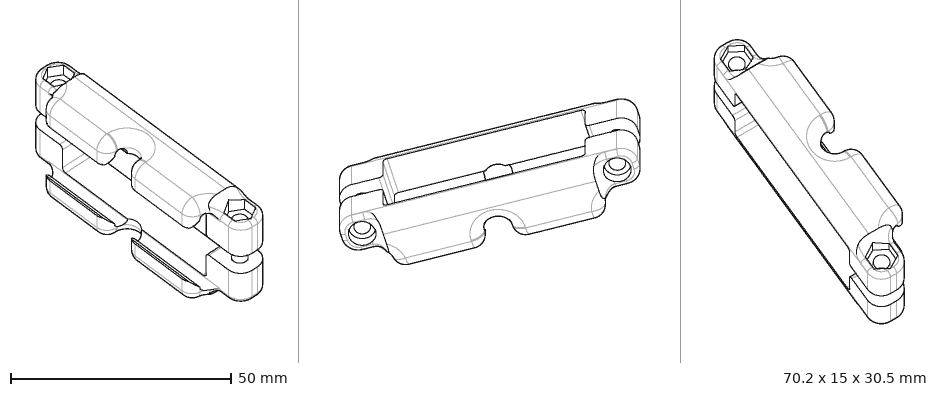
import cadquery as cq
import math

length = 70.2
depth = 14.95
height = 30.5
split_gap = 5.35
top = height / 2
ear_bottom = split_gap / 2

ear_depth = 9.3
ear_top = 12.15
ear_corner_radius = 3.8
ear_edge_radius = 1.25
ear_inner_x = 23.9
ear_front = depth - ear_depth
ear_center_y = depth - ear_depth / 2
hole_x = 30.1
hole_diameter = 3.8
nut_across_flats = 6.4
screw_head_diameter = 6.25
recess_depth = 3.0
blend_radius = 3.5

back_round_radius = 4.4
front_round_radius = 3.15
hook_corner_radius = 3.15
hook_side_x = 25.15
notch_radius = 3.2
notch_straight = 0.3

plate_thickness = 5.0
plate_bottom = top - plate_thickness
tunnel_edge_radius = 1.0
groove_width = 3.0
groove_cover = 3.15
groove_roof = top - groove_cover
hook_bottom = 8.35
hook_tip_width = 0.5

corner_x = hook_side_x - hook_corner_radius
blend_y = ear_front - blend_radius
blend_x = corner_x + math.sqrt(
    (blend_radius + hook_corner_radius) ** 2 - (hook_corner_radius - blend_y) ** 2
)
notch_y = hook_corner_radius + notch_straight

margin = 7.0
pick = 0.7


def point_on_circle(center_x, center_y, radius, angle):
    """Point at an angle in radians, measured from +X."""
    return center_x + radius * math.cos(angle), center_y + radius * math.sin(angle)


def box_around(x, y, z, size_x, size_y, size_z):
    """Selector for edges whose centre lies in a box of the given centre and size."""
    return cq.selectors.BoxSelector(
        (x - size_x / 2, y - size_y / 2, z - size_z / 2),
        (x + size_x / 2, y + size_y / 2, z + size_z / 2),
    )


def plan_outline(end_x):
    """Plan of a clamp half, with square ends at -end_x and +end_x."""
    diagonal = math.radians(45)
    join_angle = math.atan2(hook_corner_radius - blend_y, corner_x - blend_x)
    blend_mid_angle = (math.radians(90) + join_angle) / 2
    corner_end_angle = join_angle - math.pi
    corner_mid_angle = (corner_end_angle - math.radians(90)) / 2
    join = point_on_circle(blend_x, blend_y, blend_radius, join_angle)
    blend_mid = point_on_circle(blend_x, blend_y, blend_radius, blend_mid_angle)
    outer_mid = point_on_circle(corner_x, hook_corner_radius, hook_corner_radius, corner_mid_angle)
    inner_corner_x = notch_radius + hook_corner_radius
    inner_mid = point_on_circle(
        inner_corner_x, hook_corner_radius, hook_corner_radius, math.pi + diagonal
    )
    return (
        cq.Workplane("XY").workplane(offset=ear_bottom)
        .moveTo(-end_x, depth)
        .lineTo(-end_x, ear_front)
        .lineTo(-blend_x, ear_front)
        .threePointArc((-blend_mid[0], blend_mid[1]), (-join[0], join[1]))
        .threePointArc((-outer_mid[0], outer_mid[1]), (-corner_x, 0))
        .lineTo(-inner_corner_x, 0)
        .threePointArc((-inner_mid[0], inner_mid[1]), (-notch_radius, hook_corner_radius))
        .lineTo(-notch_radius, notch_y)
        .threePointArc((0, notch_y + notch_radius), (notch_radius, notch_y))
        .lineTo(notch_radius, hook_corner_radius)
        .threePointArc(inner_mid, (inner_corner_x, 0))
        .lineTo(corner_x, 0)
        .threePointArc(outer_mid, join)
        .threePointArc(blend_mid, (blend_x, ear_front))
        .lineTo(end_x, ear_front)
        .lineTo(end_x, depth)
        .close()
    )


def rounded_body():
    """Full-height bar, longer than the part, with its front and back top edges rounded."""
    bar = plan_outline(length / 2 + margin).extrude(top - ear_bottom)
    front_rim = bar.faces(">Z").edges("not(>Y or <X or >X)")
    bar = front_rim.fillet(front_round_radius)
    return bar.edges(">Y and >Z").fillet(back_round_radius)


def ear_step(side):
    """Tool that lowers one end to the ear top, meeting the body in a quarter-round sweep."""
    sweep_z = ear_top + blend_radius
    sweep_mid = point_on_circle(side * blend_x, sweep_z, blend_radius, math.radians(-90 - 45 * side))
    outer_x = side * (length / 2 + margin)
    return (
        cq.Workplane("XZ", origin=(0, -margin, 0))
        .moveTo(outer_x, ear_top)
        .lineTo(side * blend_x, ear_top)
        .threePointArc(sweep_mid, (side * (blend_x - blend_radius), sweep_z))
        .lineTo(outer_x, sweep_z)
        .close()
        .extrude(-depth - 2 * margin)
    )


def stepped_envelope():
    """Plan with rounded ear ends, lowered over both ears through a concave sweep."""
    blank = plan_outline(length / 2).extrude(top - ear_bottom)
    blank = blank.edges("|Z and (<X or >X)").fillet(ear_corner_radius)
    for side in (-1, 1):
        blank = blank.cut(ear_step(side))
    rim_inner_x = blend_x - blend_radius / 2
    rim_outer_x = length / 2 + pick
    for side in (-1, 1):
        rim = box_around(
            side * (rim_inner_x + rim_outer_x) / 2, ear_center_y, ear_top + blend_radius / 2,
            rim_outer_x - rim_inner_x, depth, blend_radius + pick,
        )
        seam = box_around(side * blend_x, ear_center_y, ear_top, pick, pick, pick)
        blank = blank.edges(rim - seam).fillet(ear_edge_radius)
    return blank


def jaw():
    """Tool that clears everything ahead of the ears, leaving the hook lip and the cable groove."""
    groove_radius = groove_width / 2
    groove_front = ear_front - groove_width
    lip_rise = groove_front - hook_tip_width
    return (
        cq.Workplane("YZ", origin=(-length, 0, 0))
        .moveTo(ear_front, 0)
        .lineTo(ear_front, groove_roof - groove_radius)
        .threePointArc(
            (ear_front - groove_radius, groove_roof),
            (groove_front, groove_roof - groove_radius),
        )
        .lineTo(groove_front, hook_bottom + lip_rise)
        .lineTo(hook_tip_width, hook_bottom)
        .lineTo(-margin, hook_bottom)
        .lineTo(-margin, 0)
        .close()
        .extrude(2 * length)
    )


def tunnel():
    """Tool for the space between the ears under the plate, with rounded upper corners."""
    return (
        cq.Workplane("XY", origin=(0, ear_front, 0))
        .box(2 * ear_inner_x, ear_depth + margin, plate_bottom, centered=(True, False, False))
        .edges("|Y and >Z").fillet(tunnel_edge_radius)
    )


def clamp_blank():
    """Upper clamp half before its screw holes are cut."""
    half = stepped_envelope().intersect(rounded_body()).cut(jaw()).cut(tunnel())
    for side in (-1, 1):
        inner_edge = box_around(side * ear_inner_x, ear_center_y, ear_bottom, pick, pick, pick)
        half = half.edges(inner_edge).fillet(tunnel_edge_radius)
    return half


def screw_points(z):
    """Workplane at height z holding both screw axes."""
    return cq.Workplane("XY", origin=(0, ear_center_y, z)).pushPoints([(-hole_x, 0), (hole_x, 0)])


def drilled_half():
    """Upper clamp half with a plain through hole in each ear."""
    holes = screw_points(0).circle(hole_diameter / 2).extrude(height)
    return clamp_blank().cut(holes)


def nut_half():
    """Upper half, with a hexagonal nut recess in each ear."""
    across_corners = nut_across_flats / math.cos(math.radians(30))
    recesses = screw_points(ear_top - recess_depth).polygon(6, across_corners).extrude(height)
    return drilled_half().cut(recesses)


def screw_half():
    """Lower half, mirrored, with a round screw head recess in each ear."""
    recesses = screw_points(ear_top - recess_depth).circle(screw_head_diameter / 2).extrude(height)
    return drilled_half().cut(recesses).mirror("XY")


upper_clamp = nut_half()
lower_clamp = screw_half()

result = cq.Compound.makeCompound([upper_clamp.val(), lower_clamp.val()])